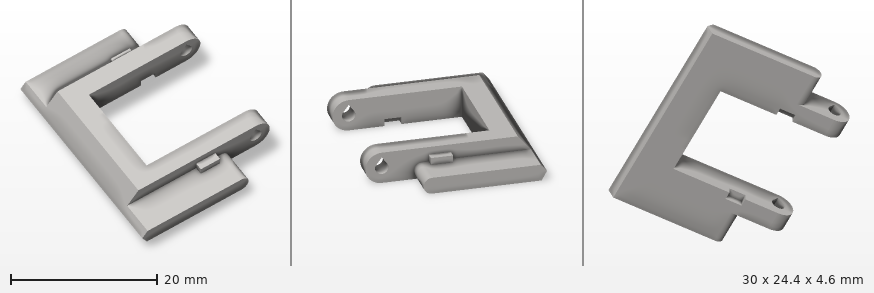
import cadquery as cq
import math


total_width = 30.0
height = 4.6
tip_to_pivot = 22.05

frame_width = 19.9
opening_width = 14.2
crossbar_depth = 6.0

wing_height = 2.4
wing_length = 17.5

tip_height = 1.35
upper_bevel_run = 2.75
lower_bevel_run = 0.75

hole_radius = 0.95
hole_peak = 1.55

tab_reach = 1.15
tab_length = 3.15
tab_height = 1.05
tab_from_tip = 12.25

pocket_reach = tab_reach
pocket_length = 2.45
pocket_height = 1.05
pocket_from_tip = 14.55

end_radius = height / 2
bottom = -end_radius
tip_y = -tip_to_pivot
tip_z = bottom + tip_height
wing_top = bottom + wing_height
arm_inner = opening_width / 2


def bar_along_x(profile, width):
    """Extrude a YZ profile symmetrically about X = 0."""
    return profile.extrude(width / 2, both=True)


def block(x_start, y_start, z_start, x_size, y_size, z_size):
    """Box given by its lowest corner and its sizes."""
    return cq.Workplane("XY", origin=(x_start, y_start, z_start)).box(
        x_size, y_size, z_size, centered=False
    )


def round_ended_bar(rear_y, bar_height, width):
    """Bar with the pointed front edge and a full-round rear end."""
    radius = bar_height / 2
    bar_top = bottom + bar_height
    bevel_slope = upper_bevel_run / (height - tip_height)
    top_front_y = tip_y + bevel_slope * (bar_height - tip_height)
    profile = (
        cq.Workplane("YZ")
        .moveTo(tip_y + lower_bevel_run, bottom)
        .lineTo(rear_y - radius, bottom)
        .threePointArc((rear_y, bottom + radius), (rear_y - radius, bar_top))
        .lineTo(top_front_y, bar_top)
        .lineTo(tip_y, tip_z)
        .close()
    )
    return bar_along_x(profile, width)


def teardrop_hole():
    """Round hole whose upper side runs tangentially into a peak."""
    tangent_z = hole_radius**2 / hole_peak
    tangent_y = math.sqrt(hole_radius**2 - tangent_z**2)
    profile = (
        cq.Workplane("YZ")
        .moveTo(-tangent_y, tangent_z)
        .threePointArc((0, -hole_radius), (tangent_y, tangent_z))
        .lineTo(0, hole_peak)
        .close()
    )
    return bar_along_x(profile, total_width)


def frame_opening():
    """Space between the arms, open to the rear."""
    opening_length = tip_to_pivot + end_radius - crossbar_depth
    return block(-arm_inner, tip_y + crossbar_depth, bottom, opening_width, opening_length, height)


def tab_bar():
    """Bar crossing the frame whose two ends stand out as tabs on the wings."""
    width = frame_width + 2 * tab_reach
    return block(-width / 2, tip_y + tab_from_tip, wing_top, width, tab_length, tab_height)


def pocket_bar():
    """Bar crossing the opening whose two ends cut the pockets into the arms."""
    width = opening_width + 2 * pocket_reach
    return block(-width / 2, tip_y + pocket_from_tip, bottom, width, pocket_length, pocket_height)


frame = round_ended_bar(end_radius, height, frame_width)
wings = round_ended_bar(tip_y + wing_length, wing_height, total_width)

result = (
    frame.union(wings)
    .union(tab_bar())
    .cut(frame_opening())
    .cut(pocket_bar())
    .cut(teardrop_hole())
)